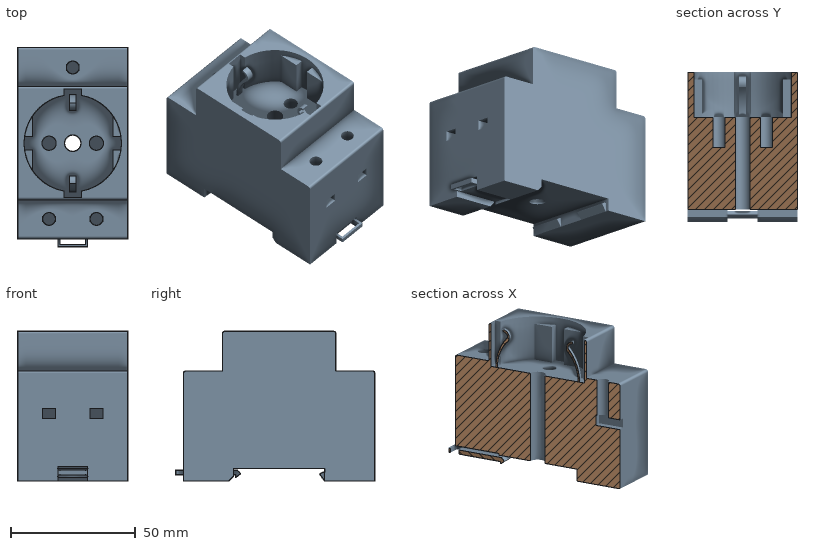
import cadquery as cq
import math


width = 44.2
total_length = 79.8
latch_overhang = 3.1
half_length = (total_length - latch_overhang) / 2
total_height = 60.0
shoulder_height = 44.1
head_half_length = 22.75
edge_radius = 1.0

rail_half_width = 18.2
rail_depth = 5.0
foot_chamfer = 1.9
hook_reach = 2.0
hook_shoulder_reach = 0.6
hook_tip_height = 2.8
hook_root_height = 3.6
hook_side_inset = 1.5

recess_radius = 19.5
recess_depth = 18.0
recess_floor = total_height - recess_depth
key_width = 6.9
key_reach = head_half_length - edge_radius
rib_inner_x = 16.1
rib_gap = 5.6
rib_height = 15.0

contact_x = 9.5
pin_hole_diameter = 5.7
pin_hole_depth = 12.0
screw_hole_diameter = 6.5

terminal_y = 30.3
terminal_width = 5.1
window_bottom = 25.05
window_height = 3.9
window_depth = 11.2
front_terminal_xs = (-contact_x, contact_x)
rear_terminal_x = 0.0

latch_width = 12.0
slot_height = 5.75
latch_bottom = 2.5
latch_top = 4.4
latch_frame_wall = 0.95
latch_opening_length = 3.7
latch_tip_reach = 2.8
latch_tip_height = 2.95
latch_tooth_reach = 0.8
latch_tooth_bottom = 1.35
latch_bevel_reach = 1.4

clip_width = 2.7
clip_thickness = 0.95
clip_outer_y = 19.55
clip_inner_y = 13.2
clip_end_y = 16.2
clip_top = 58.25
clip_bow_y = 18.2
clip_bow_z = 48.9
clip_bow_lean = 22.0
clip_curl_overrun = 25.0


def side_profile(start_y, start_z):
    """Start a sketch in the YZ plane at X = 0."""
    return cq.Workplane("YZ").moveTo(start_y, start_z)


def box(size_x, y_from, y_to, z_from, z_to, center_x=0.0):
    """Box centred on center_x, between the given Y and Z limits."""
    return (
        cq.Workplane("XY")
        .box(size_x, y_to - y_from, z_to - z_from, centered=(True, False, False))
        .translate((center_x, y_from, z_from))
    )


def cylinder(diameter, x, y, z_from, z_to):
    """Upright cylinder between two heights."""
    return (
        cq.Workplane("XY", origin=(x, y, z_from))
        .circle(diameter / 2)
        .extrude(z_to - z_from)
    )


def housing_block():
    """Stepped block with rounded top edges and the rail channel below."""
    block = (
        side_profile(-half_length, 0)
        .lineTo(-half_length, shoulder_height)
        .lineTo(-head_half_length, shoulder_height)
        .lineTo(-head_half_length, total_height)
        .lineTo(head_half_length, total_height)
        .lineTo(head_half_length, shoulder_height)
        .lineTo(half_length, shoulder_height)
        .lineTo(half_length, 0)
        .lineTo(rail_half_width, 0)
        .lineTo(rail_half_width, rail_depth)
        .lineTo(-rail_half_width, rail_depth)
        .lineTo(-rail_half_width, foot_chamfer)
        .lineTo(-rail_half_width - foot_chamfer, 0)
        .close()
        .extrude(width / 2, both=True)
    )
    block = block.faces(">Z").edges("|X").fillet(edge_radius)
    for end_face in ("<Y", ">Y"):
        block = block.faces(end_face).edges("|X and >Z").fillet(edge_radius)
    return block


def rail_hooks():
    """Fixed hooks on the rear foot that grip the rail, with a gap as wide as the latch."""
    hook_outer_x = width / 2 - hook_side_inset
    hooks = (
        side_profile(rail_half_width, 0)
        .lineTo(rail_half_width - hook_reach, hook_tip_height)
        .lineTo(rail_half_width - hook_shoulder_reach, hook_root_height)
        .lineTo(rail_half_width, hook_root_height)
        .close()
        .extrude(hook_outer_x, both=True)
    )
    return hooks.cut(
        box(latch_width, rail_half_width - hook_reach, rail_half_width, 0, hook_root_height)
    )


def plug_recess():
    """Round recess with two key slots, less the four guide ribs."""
    recess = cylinder(2 * recess_radius, 0, 0, recess_floor, total_height)
    rib_top = recess_floor + rib_height
    rib_width = recess_radius - rib_inner_x
    for side in (-1, 1):
        rib_x = side * (rib_inner_x + rib_width / 2)
        recess = recess.cut(
            box(rib_width, rib_gap / 2, recess_radius, recess_floor, rib_top, rib_x)
        )
        recess = recess.cut(
            box(rib_width, -recess_radius, -rib_gap / 2, recess_floor, rib_top, rib_x)
        )
    return recess.union(box(key_width, -key_reach, key_reach, recess_floor, total_height))


def terminal(x, side):
    """Screw hole and wire window; side is -1 for the front, 1 for the rear."""
    window_top = window_bottom + window_height
    inner_y = half_length - window_depth
    y_from, y_to = sorted((side * inner_y, side * half_length))
    window = box(terminal_width, y_from, y_to, window_bottom, window_top, x)
    return window.union(
        cylinder(terminal_width, x, side * terminal_y, window_top, shoulder_height)
    )


def make_housing():
    body = housing_block().union(rail_hooks()).cut(plug_recess())
    body = body.cut(cylinder(screw_hole_diameter, 0, 0, 0, recess_floor))
    for x in (-contact_x, contact_x):
        body = body.cut(
            cylinder(pin_hole_diameter, x, 0, recess_floor - pin_hole_depth, recess_floor)
        )
    for x in front_terminal_xs:
        body = body.cut(terminal(x, -1))
    body = body.cut(terminal(rear_terminal_x, 1))
    return body.cut(box(latch_width, -half_length, -rail_half_width, 0, slot_height))


def make_latch():
    """Sliding plate with a pull frame in front and a hooked nose at the rail."""
    wall_y = -rail_half_width
    front_y = -half_length - latch_overhang
    plate = (
        side_profile(front_y, latch_bottom)
        .lineTo(front_y, latch_top)
        .lineTo(wall_y + latch_bevel_reach, latch_top)
        .lineTo(wall_y + latch_tip_reach, latch_tip_height)
        .lineTo(wall_y + latch_tooth_reach, latch_tooth_bottom)
        .lineTo(wall_y + latch_tooth_reach, latch_bottom)
        .close()
        .extrude(latch_width / 2, both=True)
    )
    opening_front = front_y + latch_frame_wall
    opening = box(
        latch_width - 2 * latch_frame_wall,
        opening_front,
        opening_front + latch_opening_length,
        latch_bottom,
        latch_top,
    )
    return plate.cut(opening)


def make_clip():
    """Springy strip: bowed leg on the recess floor, then a curl turned back at the top."""
    curl_radius = clip_end_y - clip_inner_y
    curl_z = clip_top - curl_radius
    inner_curl_radius = curl_radius - clip_thickness
    lean = math.radians(clip_bow_lean)

    def on_curl(radius, degrees):
        """Point on the curl, the angle running from level towards the tip."""
        angle = math.radians(degrees)
        return clip_end_y - radius * math.cos(angle), curl_z + radius * math.sin(angle)

    return (
        side_profile(clip_outer_y, recess_floor)
        .threePointArc((clip_bow_y, clip_bow_z), on_curl(inner_curl_radius, 0))
        .threePointArc(on_curl(inner_curl_radius, 45), on_curl(inner_curl_radius, 90))
        .lineTo(clip_end_y, clip_top)
        .threePointArc(on_curl(curl_radius, 45), on_curl(curl_radius, -clip_curl_overrun))
        .threePointArc(
            (
                clip_bow_y - clip_thickness * math.cos(lean),
                clip_bow_z - clip_thickness * math.sin(lean),
            ),
            (clip_outer_y - clip_thickness, recess_floor),
        )
        .close()
        .extrude(clip_width / 2, both=True)
    )


housing = make_housing()
latch = make_latch()
clips = [make_clip().rotate((0, 0, 0), (0, 0, 1), angle) for angle in (0, 180)]

result = cq.Compound.makeCompound(
    [housing.val(), latch.val(), *[clip.val() for clip in clips]]
)